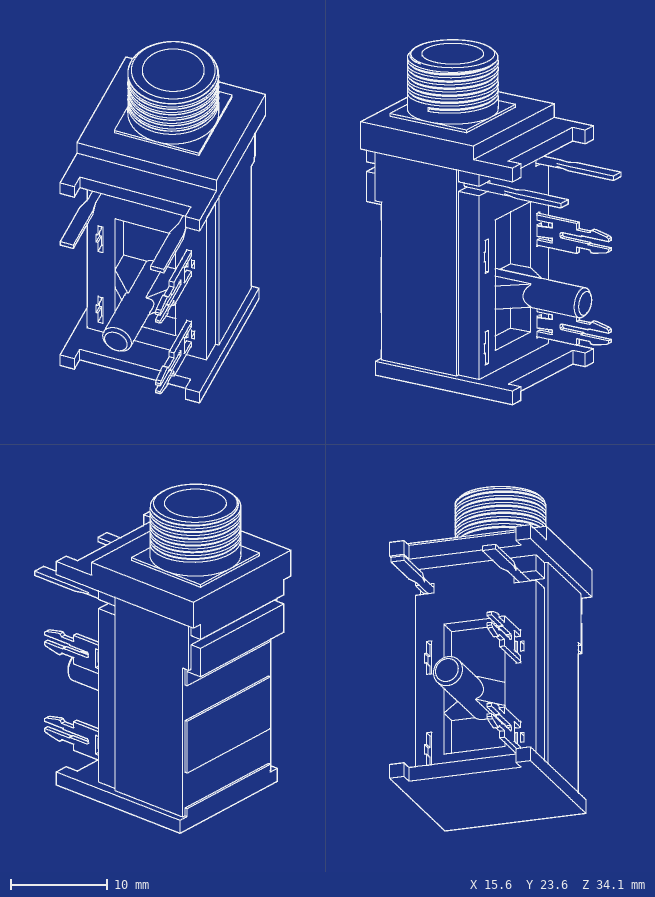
import cadquery as cq
import math


total_height = 34.1
plate_width = 15.6
back_y = 6.4
front_y = -7.57

foot_tip_y = -12.4
foot_width = 1.6
base_notch_y = -10.87
top_plate_notch_y = -10.85
base_thickness = 1.55
base_back_y = 4.57
top_plate_bottom = 24.65
ledge_top = 26.18
top_plate_top = 27.68

housing_width = 14.1
front_block_width = 13.35
shoulder_y = -5.0
housing_back_y = 4.3
upper_back_y = 5.1
upper_back_bottom = 18.95
rear_block_bottom = 18.5
rear_pad_spans = [(base_thickness, 2.45), (6.6, 12.68), (16.85, rear_block_bottom)]

barrel_radius = 4.75
bore_diameter = 6.45
pad_height = 0.3
rim_chamfer = 0.37
thread_pitch = 0.8
thread_depth = 0.27
groove_mouth = 0.45
groove_root = 0.07
groove_overshoot = 0.1
thread_start_z = 29.35
thread_turns = 6

window_left = -3.55
window_right = 3.25
window_floor_right = 3.07
window_bottom = 3.82
window_top = 18.25
window_floor_y = -5.15
pin_radius = 1.6
pin_z = 9.65
pin_tip_y = -16.4
pin_chamfer = 0.35
lever_height = 2.55
lever_tip_y = -10.3
lever_tip_half_width = 1.1

ground_pin_z = 22.35
ground_pin_xs = (-5.18, 4.95)
ground_slot_inner_xs = (-4.65, 4.23)
ground_slot_height = 1.05
ground_shaft_radius = 0.45
ground_taper_start_y = -10.02
ground_blade_start_y = -11.62
ground_blade_tip_y = -17.18
ground_blade_width = 1.45
ground_blade_thickness = 0.5

terminal_zs = (4.6, 14.73)
terminal_inner_x = 4.43
terminal_thickness = 0.55
empty_slot_inner_x = -4.9
slot_length = 3.65
slot_depth = 1.02
slot_bump_length = 1.05
empty_slot_bump = 0.2
terminal_slot_bump = 0.35
blade_half_height = 1.67
blade_tip_y = -12.48
eye_half_height = 1.1
eye_end_y = -9.45
tongue_half_height = 0.58
tongue_bow = 0.35
tongue_thickness = 0.17
tongue_knee_y = -7.8
prong_outer = 0.95
barb_outer = 1.23
prong_tip_outer = 0.7
barb_start_y = -14.08
barb_peak_y = -14.3
barb_crest_end_y = -14.6
barb_end_y = -16.15
prong_tip_y = -16.43
prong_tip_chamfer = 0.17
fork_end_y = -10.43
fork_end_chamfer = 0.15
fork_half_gap = 0.3
fork_mouth_half_gap = 0.4
fork_early_step_y = -13.02
fork_late_step_y = -13.9


def block(x_span, y_span, z_span):
    """Axis-aligned box between the given limits."""
    size = [abs(span[1] - span[0]) for span in (x_span, y_span, z_span)]
    corner = (min(x_span), min(y_span), min(z_span))
    return cq.Workplane("XY").box(*size, centered=False).translate(corner)


def centred_block(width, y_span, z_span):
    """Box that is symmetric about x = 0."""
    return block((-width / 2, width / 2), y_span, z_span)


def footed_plate(y_back, y_notch, z_bottom, z_top):
    """End plate whose front edge is notched so that a foot is left at each corner."""
    plate = centred_block(plate_width, (foot_tip_y, y_back), (z_bottom, z_top))
    notch_width = plate_width - 2 * foot_width
    return plate.cut(centred_block(notch_width, (foot_tip_y, y_notch), (z_bottom, z_top)))


def make_housing():
    """Body between the two end plates, stepped at the back and narrower at the front."""
    housing = centred_block(housing_width, (shoulder_y, housing_back_y), (base_thickness, top_plate_bottom))
    housing = housing.union(
        centred_block(housing_width, (shoulder_y, upper_back_y), (upper_back_bottom, top_plate_bottom))
    )
    housing = housing.union(
        centred_block(front_block_width, (front_y, shoulder_y), (base_thickness, top_plate_bottom))
    )
    housing = housing.union(
        centred_block(front_block_width, (0, back_y), (rear_block_bottom, top_plate_bottom))
    )
    groove_z = (ground_pin_z - ground_slot_height / 2, ground_pin_z + ground_slot_height / 2)
    housing = housing.cut(centred_block(front_block_width, (upper_back_y, back_y), groove_z))
    for pad_span in rear_pad_spans:
        housing = housing.union(centred_block(front_block_width, (0, base_back_y), pad_span))
    housing = housing.union(footed_plate(base_back_y, base_notch_y, 0, base_thickness))
    housing = housing.union(footed_plate(back_y, top_plate_notch_y, top_plate_bottom, ledge_top))
    housing = housing.union(centred_block(plate_width, (front_y, back_y), (ledge_top, top_plate_top)))
    return housing


def make_thread_groove():
    """Helical groove that starts on the -X side and runs out through the top of the barrel."""
    run = thread_turns * thread_pitch
    helix = cq.Workplane(obj=cq.Wire.makeHelix(thread_pitch, run, barrel_radius))
    flank_slope = (groove_mouth - groove_root) / 2 / thread_depth
    outer_half_width = groove_mouth / 2 + flank_slope * groove_overshoot
    profile = cq.Workplane("XZ").polyline([
        (barrel_radius - thread_depth, -groove_root / 2),
        (barrel_radius + groove_overshoot, -outer_half_width),
        (barrel_radius + groove_overshoot, outer_half_width),
        (barrel_radius - thread_depth, groove_root / 2),
    ]).close()
    groove = profile.sweep(helix, isFrenet=True)
    return groove.rotate((0, 0, 0), (0, 0, 1), 180).translate((0, 0, thread_start_z))


def make_barrel():
    """Threaded barrel standing on a square pad."""
    barrel = cq.Workplane("XY", origin=(0, 0, top_plate_top)).circle(barrel_radius)
    barrel = barrel.extrude(total_height - top_plate_top).faces(">Z").chamfer(rim_chamfer)
    barrel = barrel.cut(make_thread_groove())
    pad_side = 2 * barrel_radius
    pad_z = (top_plate_top, top_plate_top + pad_height)
    pad = centred_block(pad_side, (-barrel_radius, barrel_radius), pad_z)
    return barrel.union(pad)


def make_bore():
    """Plug bore down through the barrel and the top plate."""
    bore = cq.Workplane("XY", origin=(0, 0, top_plate_bottom)).circle(bore_diameter / 2)
    return bore.extrude(total_height - top_plate_bottom)


def make_window():
    """Front pocket whose right wall leans inward towards the floor."""
    outline = [
        (window_left, front_y),
        (window_right, front_y),
        (window_floor_right, window_floor_y),
        (window_left, window_floor_y),
    ]
    pocket = cq.Workplane("XY", origin=(0, 0, window_bottom)).polyline(outline).close()
    return pocket.extrude(window_top - window_bottom)


def make_locating_pin():
    """Round pin on the window floor, carried by a lever that tapers towards it."""
    pin = cq.Workplane("XZ", origin=(0, shoulder_y, pin_z)).circle(pin_radius)
    pin = pin.extrude(shoulder_y - pin_tip_y).faces("<Y").chamfer(pin_chamfer)
    outline = [
        (window_left, shoulder_y),
        (window_left, front_y),
        (-lever_tip_half_width, lever_tip_y),
        (lever_tip_half_width, lever_tip_y),
        (window_right, front_y),
        (window_right, shoulder_y),
    ]
    lever = cq.Workplane("XY", origin=(0, 0, pin_z - lever_height / 2)).polyline(outline).close()
    return pin.union(lever.extrude(lever_height))


def make_ground_slot(inner_x):
    """Slot across the front block, open to the front and to the nearer side."""
    side_x = math.copysign(housing_width / 2, inner_x)
    z_span = (ground_pin_z - ground_slot_height / 2, ground_pin_z + ground_slot_height / 2)
    return block((inner_x, side_x), (front_y, shoulder_y), z_span)


def make_ground_pin(pin_x):
    """Round shaft flattened into a solder blade."""
    shaft = cq.Workplane("XZ", origin=(pin_x, 0, ground_pin_z)).circle(ground_shaft_radius)
    shaft = shaft.extrude(-ground_taper_start_y)
    taper = cq.Workplane("XZ", origin=(pin_x, ground_taper_start_y, ground_pin_z)).circle(ground_shaft_radius)
    taper = taper.workplane(offset=ground_taper_start_y - ground_blade_start_y)
    taper = taper.rect(ground_blade_width, ground_blade_thickness).loft(combine=True)
    blade = cq.Workplane("XZ", origin=(pin_x, ground_blade_start_y, ground_pin_z))
    blade = blade.rect(ground_blade_width, ground_blade_thickness)
    blade = blade.extrude(ground_blade_start_y - ground_blade_tip_y)
    return shaft.union(taper).union(blade)


def make_terminal_slot(inner_x, bump, side, centre_z):
    """Terminal slot with a shallow bump on its outer side; side is +1 or -1 along X."""
    outer_x = inner_x + side * terminal_thickness
    y_span = (front_y, front_y + slot_depth)
    slot = block((inner_x, outer_x), y_span, (centre_z - slot_length / 2, centre_z + slot_length / 2))
    bump_z = (centre_z - slot_bump_length / 2, centre_z + slot_bump_length / 2)
    return slot.union(block((outer_x, outer_x + side * bump), y_span, bump_z))


def make_terminal(centre_z, flip):
    """Sheet terminal with a forked, barbed tail and a lanced tongue; flip is +1 or -1 along Z."""
    root_y = front_y + slot_depth
    upper_edge = [
        (root_y, blade_half_height),
        (blade_tip_y, blade_half_height),
        (blade_tip_y, prong_outer),
        (barb_start_y, prong_outer),
        (barb_peak_y, barb_outer),
        (barb_crest_end_y, barb_outer),
        (barb_end_y, prong_tip_outer + prong_tip_chamfer),
        (prong_tip_y, prong_tip_outer),
    ]
    lower_edge = [(y, -z) for y, z in reversed(upper_edge)]
    fork = [
        (prong_tip_y, fork_mouth_half_gap),
        (fork_early_step_y, fork_mouth_half_gap),
        (fork_early_step_y, fork_half_gap),
        (fork_end_y - fork_end_chamfer, fork_half_gap),
        (fork_end_y, fork_half_gap - fork_end_chamfer),
        (fork_end_y, fork_end_chamfer - fork_half_gap),
        (fork_end_y - fork_end_chamfer, -fork_half_gap),
        (fork_late_step_y, -fork_half_gap),
        (fork_late_step_y, -fork_mouth_half_gap),
        (prong_tip_y, -fork_mouth_half_gap),
    ]
    outline = upper_edge + fork + lower_edge
    sheet = cq.Workplane("YZ", origin=(terminal_inner_x, 0, centre_z))
    sheet = sheet.polyline([(y, flip * z) for y, z in outline]).close().extrude(terminal_thickness)
    sheet_x = (terminal_inner_x, terminal_inner_x + terminal_thickness)
    eye_z = (centre_z - eye_half_height, centre_z + eye_half_height)
    sheet = sheet.cut(block(sheet_x, (eye_end_y, front_y), eye_z))
    bowed_x = terminal_inner_x - tongue_bow
    tongue = cq.Workplane("XY", origin=(0, 0, centre_z - tongue_half_height)).polyline([
        (terminal_inner_x, eye_end_y),
        (bowed_x, tongue_knee_y),
        (terminal_inner_x, front_y),
        (terminal_inner_x + tongue_thickness, front_y),
        (bowed_x + tongue_thickness, tongue_knee_y),
        (terminal_inner_x + tongue_thickness, eye_end_y),
    ]).close().extrude(2 * tongue_half_height)
    return sheet.union(tongue)


result = make_housing().union(make_barrel()).cut(make_bore()).cut(make_window())
result = result.union(make_locating_pin())

for ground_x, slot_inner_x in zip(ground_pin_xs, ground_slot_inner_xs):
    result = result.cut(make_ground_slot(slot_inner_x))
    result = result.union(make_ground_pin(ground_x))

for terminal_z, terminal_flip in zip(terminal_zs, (-1, 1)):
    result = result.cut(make_terminal_slot(empty_slot_inner_x, empty_slot_bump, -1, terminal_z))
    result = result.cut(make_terminal_slot(terminal_inner_x, terminal_slot_bump, 1, terminal_z))
    result = result.union(make_terminal(terminal_z, terminal_flip))